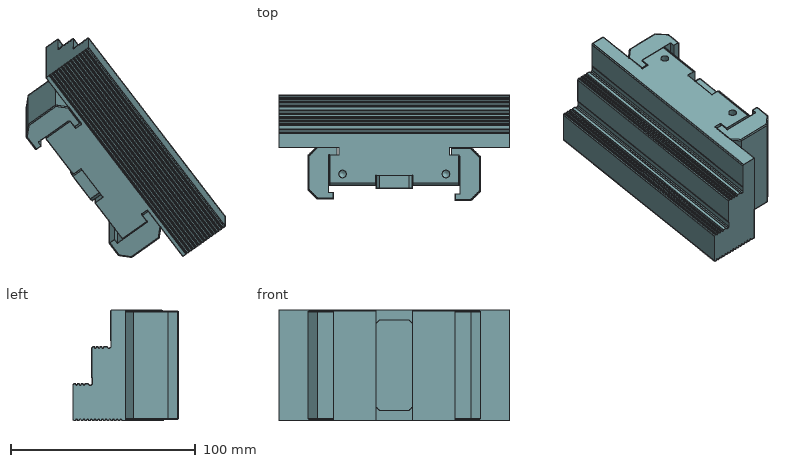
import cadquery as cq
import math


WIDTH = 125.0
HEIGHT = 60.0
OVERALL_DEPTH = 57.3
STEP_COUNT = 3
STEP_RISE = HEIGHT / STEP_COUNT
STEP_RUN = 10.2
BODY_DEPTH = 28.6
STEP_EDGE_CHAMFER = 0.6

TOOTH_PITCH = 2.0
GROOVE_DEPTH = 0.75
GROOVE_MOUTH = 1.1
GROOVE_FLOOR = 0.4
STEP_GROOVES = 3
UNDERSIDE_GROOVES = 13

RELIEF_START = 8.3
RELIEF_UNDERCUT = 0.25
RELIEF_TOP = 3.25
RELIEF_CHAMFER = 0.6

NECK_WIDTH = 60.0
RAIL_WIDTH = 70.0
RAIL_LEDGE = 4.0
RAIL_DEPTH = 20.4
RAIL_CHAMFER_DEPTH = 1.2
RAIL_CHAMFER_DROP = 0.75

HOLE_DIAMETER = 4.13
HOLE_DEPTH = 10.0
HOLE_SPACING = 56.0
HOLE_OFFSET = 14.3
DRILL_POINT_ANGLE = 118.0

KEYWAY_WIDTH = 20.0
KEYWAY_OFFSET = 15.1
KEY_CLEARANCE = 0.15
KEY_HEIGHT = 49.0
KEY_FRONT = 22.15
KEY_CHAMFER = 1.9

CLAMP_OUTER = 46.8
CLAMP_INNER = 35.6
CLAMP_RAIL_HOOK_TIP = 31.0
CLAMP_RAIL_HOOK_THICKNESS = 4.75
CLAMP_FRONT_HOOK_TIP = 33.0
CLAMP_FRONT_HOOK_THICKNESS = 3.7
CLAMP_DEPTH = OVERALL_DEPTH - BODY_DEPTH
CLAMP_CORNER = 5.1
CLAMP_END_GAP = 0.6
CLAMP_EDGE_CHAMFER = 0.6
LEFT_CLAMP_SHIFT = CLAMP_RAIL_HOOK_THICKNESS - RAIL_LEDGE


def box(x_min, x_max, y_min, y_max, z_min, z_max):
    size = (x_max - x_min, y_max - y_min, z_max - z_min)
    return cq.Workplane("XY").box(*size, centered=False).translate((x_min, y_min, z_min))


def extrude_across(points):
    """Extrude a (y, z) outline over the full body width."""
    outline = cq.Workplane("YZ").polyline(points).close()
    return outline.extrude(WIDTH / 2, both=True)


def step_back(step):
    return BODY_DEPTH - step * STEP_RUN


def make_stepped_body():
    points = [(0, 0)]
    for step in range(STEP_COUNT):
        back = step_back(step)
        tread = (step + 1) * STEP_RISE
        if step == 0:
            points += [(back - STEP_EDGE_CHAMFER, 0), (back, STEP_EDGE_CHAMFER)]
        else:
            points.append((back, step * STEP_RISE))
        points += [(back, tread - STEP_EDGE_CHAMFER), (back - STEP_EDGE_CHAMFER, tread)]
    points.append((0, HEIGHT))
    return extrude_across(points)


def make_groove(y, z, inward):
    """Groove cutter with its mouth at height z; inward is +1 for upward, -1 for downward."""
    floor = z + inward * GROOVE_DEPTH
    return extrude_across(
        [
            (y - GROOVE_MOUTH / 2, z),
            (y - GROOVE_FLOOR / 2, floor),
            (y + GROOVE_FLOOR / 2, floor),
            (y + GROOVE_MOUTH / 2, z),
        ]
    )


def make_step_relief(step):
    tread = (step + 1) * STEP_RISE
    y_start = step_back(step) - RELIEF_START
    y_end = step_back(step + 1) - RELIEF_UNDERCUT
    floor = tread - GROOVE_DEPTH
    return extrude_across(
        [
            (y_start, tread),
            (y_start - RELIEF_CHAMFER, floor),
            (y_end + RELIEF_CHAMFER, floor),
            (y_end, floor + RELIEF_CHAMFER),
            (y_end, tread + RELIEF_TOP),
            (step_back(step + 1), tread + RELIEF_TOP),
            (step_back(step + 1), tread),
        ]
    )


def cut_serrations(body):
    for index in range(1, UNDERSIDE_GROOVES + 1):
        body = body.cut(make_groove(BODY_DEPTH - index * TOOTH_PITCH, 0, 1))
    for step in range(STEP_COUNT - 1):
        tread = (step + 1) * STEP_RISE
        for index in range(1, STEP_GROOVES + 1):
            body = body.cut(make_groove(step_back(step) - index * TOOTH_PITCH, tread, -1))
        body = body.cut(make_step_relief(step))
    return body


def make_rail():
    neck = box(-NECK_WIDTH / 2, NECK_WIDTH / 2, -RAIL_LEDGE, 0, 0, HEIGHT)
    head = box(-RAIL_WIDTH / 2, RAIL_WIDTH / 2, -RAIL_DEPTH, -RAIL_LEDGE, 0, HEIGHT)
    top_edge = extrude_across(
        [
            (-RAIL_DEPTH, HEIGHT),
            (-RAIL_DEPTH, HEIGHT - RAIL_CHAMFER_DROP),
            (-RAIL_DEPTH + RAIL_CHAMFER_DEPTH, HEIGHT),
        ]
    )
    half_keyway = KEYWAY_WIDTH / 2
    keyway = box(-half_keyway, half_keyway, -RAIL_DEPTH, -KEYWAY_OFFSET, 0, HEIGHT)
    rail = neck.union(head).cut(top_edge).cut(keyway)
    for side in (-1, 1):
        rail = rail.cut(make_hole(side * HOLE_SPACING / 2))
    return rail


def make_hole(x):
    radius = HOLE_DIAMETER / 2
    point_length = radius / math.tan(math.radians(DRILL_POINT_ANGLE / 2))
    floor = HEIGHT - HOLE_DEPTH
    half_section = [(0, HEIGHT), (radius, HEIGHT), (radius, floor), (0, floor - point_length)]
    drill = cq.Workplane("XZ").polyline(half_section).close().revolve(360, (0, 0, 0), (0, 1, 0))
    return drill.translate((x, -HOLE_OFFSET, 0))


def make_key():
    half_width = KEYWAY_WIDTH / 2 - KEY_CLEARANCE
    z_min = (HEIGHT - KEY_HEIGHT) / 2
    block = box(-half_width, half_width, -KEY_FRONT, -KEYWAY_OFFSET, z_min, z_min + KEY_HEIGHT)
    return block.edges("|Y").chamfer(KEY_CHAMFER)


def make_right_clamp():
    outline = [
        (CLAMP_RAIL_HOOK_TIP, 0),
        (CLAMP_OUTER - CLAMP_CORNER, 0),
        (CLAMP_OUTER, -CLAMP_CORNER),
        (CLAMP_OUTER, -CLAMP_DEPTH + CLAMP_CORNER),
        (CLAMP_OUTER - CLAMP_CORNER, -CLAMP_DEPTH),
        (CLAMP_FRONT_HOOK_TIP, -CLAMP_DEPTH),
        (CLAMP_FRONT_HOOK_TIP, -CLAMP_DEPTH + CLAMP_FRONT_HOOK_THICKNESS),
        (CLAMP_INNER, -CLAMP_DEPTH + CLAMP_FRONT_HOOK_THICKNESS),
        (CLAMP_INNER, -CLAMP_RAIL_HOOK_THICKNESS),
        (CLAMP_RAIL_HOOK_TIP, -CLAMP_RAIL_HOOK_THICKNESS),
    ]
    clamp = cq.Workplane("XY").polyline(outline).close().extrude(HEIGHT)
    return clamp.intersect(make_clamp_envelope())


def make_clamp_envelope():
    """Octagonal block whose bevelled ends trim the clamp's length and bevel its outer faces only."""
    half_depth = CLAMP_DEPTH / 2
    block = box(0, CLAMP_OUTER, -half_depth, half_depth, CLAMP_END_GAP, HEIGHT - CLAMP_END_GAP)
    block = block.edges("|Z and >X").chamfer(CLAMP_CORNER)
    block = block.faces("<Z or >Z").edges("not <X").chamfer(CLAMP_EDGE_CHAMFER)
    return block.translate((0, -half_depth, 0))


right_clamp = make_right_clamp()
left_clamp = right_clamp.mirror("YZ").translate((0, LEFT_CLAMP_SHIFT, 0))

result = cut_serrations(make_stepped_body()).union(make_rail()).union(make_key())
result = result.union(right_clamp).union(left_clamp)